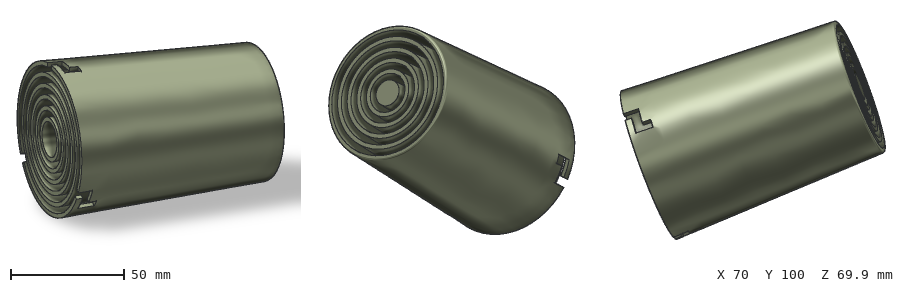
import cadquery as cq

length = 100.0
taper = 4.0
wall = 2.0

housing_radius = 35.0
edge_round = 1.0

section_pitch = 5.0
open_section_count = 4

tip_radius = housing_radius - (open_section_count + 1) * section_pitch
cap_inner_round = 2.0

slot_count = 3
slot_width = 4.0
slot_lip = 3.0
slot_shift = 8.0


def cone(wide_radius, height):
    """Solid cone with the common taper, from Y = 0 to Y = height."""
    narrow_radius = wide_radius - taper * height / length
    profile = [(0, 0), (wide_radius, 0), (narrow_radius, height), (0, height)]
    return cq.Workplane("XY").polyline(profile).close().revolve(360, (0, 0), (0, 1))


def make_section(wide_radius):
    """Hollow cone open at both ends."""
    return cone(wide_radius, length).cut(cone(wide_radius - wall, length))


def bayonet_slot():
    """Stepped slot cutter at the +Z side of the housing."""
    left = -slot_width / 2
    right = left + slot_width
    leg_left = left + slot_shift
    leg_right = leg_left + slot_width
    run_end = slot_lip + slot_width
    leg_end = run_end + slot_width
    outline = [
        (left, 0),
        (right, 0),
        (right, slot_lip),
        (leg_right, slot_lip),
        (leg_right, leg_end),
        (leg_left, leg_end),
        (leg_left, run_end),
        (left, run_end),
    ]
    return cq.Workplane("XY").polyline(outline).close().extrude(housing_radius)


def make_housing():
    """Outer cone with bayonet slots spaced evenly around its wide end."""
    body = cone(housing_radius, length).faces(">Y").edges().fillet(edge_round)
    body = body.cut(cone(housing_radius - wall, length))
    for index in range(slot_count):
        angle = index * 360 / slot_count
        body = body.cut(bayonet_slot().rotate((0, 0, 0), (0, 1, 0), angle))
    return body


def make_tip():
    """Innermost cone, closed at the narrow end with a rounded inner corner."""
    cavity = cone(tip_radius - wall, length - wall)
    cavity = cavity.faces(">Y").edges().fillet(cap_inner_round)
    return cone(tip_radius, length).cut(cavity)


housing = make_housing()
sections = [
    make_section(housing_radius - (index + 1) * section_pitch)
    for index in range(open_section_count)
]
tip = make_tip()

result = cq.Compound.makeCompound(
    [housing.val(), *[section.val() for section in sections], tip.val()]
)